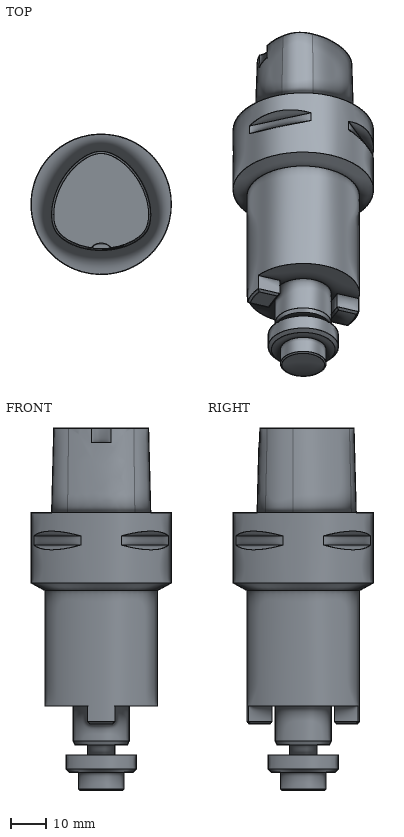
import cadquery as cq
import math

total_height = 103.0
flange_top = 79.0
flange_rim_bottom = 59.0
body_top = 56.9
body_bottom = 24.0
pilot_bottom = 13.0
disk_top = 10.1
disk_bottom = 5.2

flange_diameter = 40.0
body_diameter = 32.0
pilot_diameter = 16.0
neck_diameter = 7.8
disk_diameter = 20.0
head_diameter = 13.0

pilot_chamfer_height = 1.1
pilot_chamfer_width = 0.5
disk_chamfer = 0.9
head_chamfer = 0.4

shank_base_radius = 14.1
shank_top_radius = 13.5
lobe_eccentricity = 0.97
lobe_half_angle = 30.0
lobe_directions = (90.0, 210.0, 330.0)

notch_radius = 3.5
notch_depth = 4.1
notch_inner_y = -11.0

groove_center_z = 71.1
groove_floor_height = 2.6
groove_floor_distance = 17.6
groove_side_angle = 30.0
groove_count = 4

key_width = 7.7
key_length = 5.0
key_inner_distance = 8.9
key_chamfer = 0.6


def turned_body():
    """Revolve the flange, body, pilot, neck and screw head about Z."""
    flange_radius = flange_diameter / 2
    body_radius = body_diameter / 2
    pilot_radius = pilot_diameter / 2
    neck_radius = neck_diameter / 2
    disk_radius = disk_diameter / 2
    head_radius = head_diameter / 2
    outline = [
        (0, 0),
        (head_radius - head_chamfer, 0),
        (head_radius, head_chamfer),
        (head_radius, disk_bottom),
        (disk_radius - disk_chamfer, disk_bottom),
        (disk_radius, disk_bottom + disk_chamfer),
        (disk_radius, disk_top),
        (neck_radius, disk_top),
        (neck_radius, pilot_bottom),
        (pilot_radius - pilot_chamfer_width, pilot_bottom),
        (pilot_radius, pilot_bottom + pilot_chamfer_height),
        (pilot_radius, body_bottom),
        (body_radius, body_bottom),
        (body_radius, body_top),
        (flange_radius, flange_rim_bottom),
        (flange_radius, flange_top),
        (0, flange_top),
    ]
    return cq.Workplane("XZ").polyline(outline).close().revolve(360, (0, 0), (0, 1))


def lobed_point(radius, normal_angle):
    """Point of the constant-width lobed curve whose outward normal has this angle in degrees."""
    turn = math.radians(normal_angle + 90)
    along = radius * math.cos(turn) - 2 * lobe_eccentricity * math.cos(2 * turn)
    along += lobe_eccentricity * math.cos(4 * turn)
    across = radius * math.sin(turn) + 2 * lobe_eccentricity * math.sin(2 * turn)
    across += lobe_eccentricity * math.sin(4 * turn)
    return across, -along


def lobed_outline(workplane, radius):
    """Closed outline of alternating lobe and side curves."""
    first_angle = lobe_directions[0] - lobe_half_angle
    outline = workplane.moveTo(*lobed_point(radius, first_angle))
    for direction in lobe_directions:
        lobe_start = direction - lobe_half_angle
        lobe_end = direction + lobe_half_angle
        side_end = lobe_start + 120
        for start, end in ((lobe_start, lobe_end), (lobe_end, side_end)):
            outline = outline.parametricCurve(
                lambda t: lobed_point(radius, start + (end - start) * t),
                N=16,
                makeWire=False,
            )
    return outline.wire()


def shank():
    """Loft the lobed taper and cut its notch."""
    base = lobed_outline(cq.Workplane("XY").workplane(offset=flange_top), shank_base_radius)
    top_plane = base.workplane(offset=total_height - flange_top)
    taper = lobed_outline(top_plane, shank_top_radius).loft(ruled=True, combine=True)
    notch = (
        cq.Workplane("XY")
        .workplane(offset=total_height - notch_depth)
        .center(0, notch_inner_y - notch_radius)
        .circle(notch_radius)
        .extrude(notch_depth)
    )
    return taper.cut(notch)


def gripper_groove(angle):
    """Straight flared groove across the flange, facing the given angle."""
    flange_radius = flange_diameter / 2
    flare = (flange_radius - groove_floor_distance) * math.tan(math.radians(groove_side_angle))
    floor_half = groove_floor_height / 2
    mouth_half = floor_half + flare
    return (
        cq.Workplane("XZ")
        .moveTo(groove_floor_distance, groove_center_z - floor_half)
        .lineTo(flange_radius, groove_center_z - mouth_half)
        .lineTo(flange_radius, groove_center_z + mouth_half)
        .lineTo(groove_floor_distance, groove_center_z + floor_half)
        .close()
        .extrude(flange_radius, both=True)
        .rotate((0, 0, 0), (0, 0, 1), angle)
    )


def drive_keys():
    """Two opposite keys trimmed to the body diameter."""
    body_radius = body_diameter / 2
    radial_length = body_radius - key_inner_distance
    bar_center = key_inner_distance + radial_length / 2
    bars = (
        cq.Workplane("XY")
        .workplane(offset=body_bottom)
        .pushPoints([(0, bar_center), (0, -bar_center)])
        .rect(key_width, radial_length)
        .extrude(-key_length)
    )
    cylinder = (
        cq.Workplane("XY")
        .workplane(offset=body_bottom)
        .circle(body_radius)
        .extrude(-key_length)
    )
    return bars.intersect(cylinder).faces("<Z").edges().chamfer(key_chamfer)


result = turned_body().union(shank()).union(drive_keys())
for index in range(groove_count):
    groove_angle = (index + 0.5) * 360 / groove_count
    result = result.cut(gripper_groove(groove_angle))